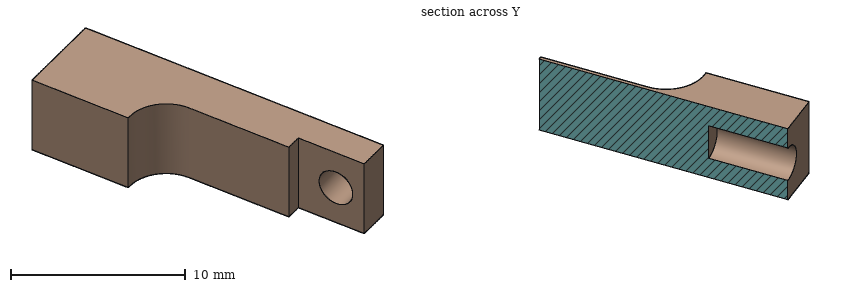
import cadquery as cq

length = 20.2
block_depth = 5.71
height = 5.09

block_length = 6.52
arm_thickness = 3.07
tab_thickness = 2.05
tab_length = 4.46
corner_radius = 2.45

hole_diameter = 2.28
cross_hole_inset = 1.92
end_hole_depth = 5.0

arm_front = block_depth - arm_thickness
tab_front = block_depth - tab_thickness
tab_start = length - tab_length


def stepped_body():
    """Block, arm and tab as one profile extruded upward."""
    return (
        cq.Workplane("XY")
        .polyline([
            (0, 0),
            (block_length, 0),
            (block_length, arm_front),
            (tab_start, arm_front),
            (tab_start, tab_front),
            (length, tab_front),
            (length, block_depth),
            (0, block_depth),
        ])
        .close()
        .extrude(height)
    )


def round_inner_corner(body):
    """Fillet the inside corner where the block meets the arm."""
    corner = cq.selectors.NearestToPointSelector((block_length, arm_front, height / 2))
    return body.edges("|Z").edges(corner).fillet(corner_radius)


def cross_hole():
    """Cutter through the tab along Y."""
    return (
        cq.Workplane("XZ")
        .center(length - cross_hole_inset, height / 2)
        .circle(hole_diameter / 2)
        .extrude(-block_depth)
    )


def end_hole():
    """Cutter for the blind hole centred in the block's end face."""
    return (
        cq.Workplane("YZ")
        .center(block_depth / 2, height / 2)
        .circle(hole_diameter / 2)
        .extrude(end_hole_depth)
    )


result = round_inner_corner(stepped_body()).cut(cross_hole()).cut(end_hole())